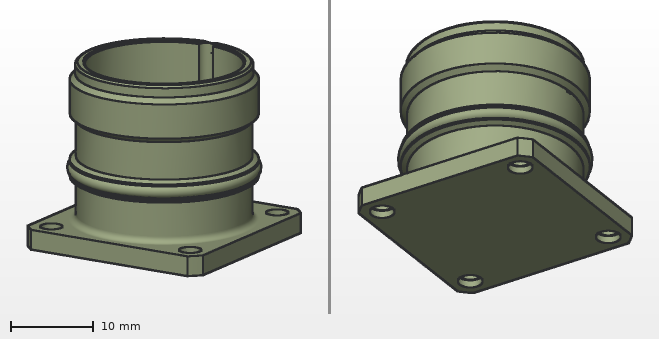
import cadquery as cq
import math

flange_size = 25.0
flange_thickness = 2.5
flange_corner_radius = 16.75
mount_hole_diameter = 2.7
mount_relief_diameter = 3.0
mount_relief_depth = 1.0
mount_circle_diameter = 28.0

total_height = 22.3
body_radius = 10.7
base_fillet = 0.8

collar_radius = 11.45
collar_mid_z = 9.05
collar_half_width = 1.45
collar_chamfer_height = 0.4
outer_ring_section = 0.8
outer_ring_radius = 10.95

band_radius = 11.45
band_bottom_z = 15.2
band_top_z = 20.85
band_bottom_chamfer = 0.65
band_top_chamfer = 0.7

rim_radius = 10.8
rim_chamfer = 0.3

bore_radius = 9.6
bore_chamfer = 0.2
floor_z = 13.2
recess_radius = 8.05
recess_depth = 0.3

inner_ring_section = 0.75
inner_ring_radius = 9.75
undercut_radius = 10.22
undercut_top_z = 15.05

keyway_radius = 1.0
keyway_centre_y = 9.65
keyway_chamfer = 0.2


def make_pins(diameter, height):
    """Cylinders on the mounting hole centres, standing on the underside of the flange."""
    spacing = mount_circle_diameter / math.sqrt(2)
    return (
        cq.Workplane("XY")
        .rect(spacing, spacing, forConstruction=True)
        .vertices()
        .circle(diameter / 2)
        .extrude(height)
    )


def make_flange():
    plate = cq.Workplane("XY").rect(flange_size, flange_size).extrude(flange_thickness)
    turned_blank = cq.Workplane("XY").circle(flange_corner_radius).extrude(flange_thickness)
    holes = make_pins(mount_hole_diameter, flange_thickness)
    reliefs = make_pins(mount_relief_diameter, mount_relief_depth)
    return plate.intersect(turned_blank).cut(holes).cut(reliefs)


def make_body():
    """Revolve the half section, from the flange up the outside and down into the socket."""
    fillet_start = body_radius + base_fillet
    fillet_top_z = flange_thickness + base_fillet
    fillet_mid = base_fillet * (1 - math.sqrt(0.5))

    collar_bottom_z = collar_mid_z - collar_half_width
    collar_top_z = collar_mid_z + collar_half_width
    groove_bottom_z = collar_mid_z - outer_ring_section
    groove_top_z = collar_mid_z + outer_ring_section

    inner_ring_z = floor_z + inner_ring_section
    ring_reach = undercut_radius - inner_ring_radius
    ring_meets_wall_z = inner_ring_z + math.sqrt(inner_ring_section**2 - ring_reach**2)

    section = (
        cq.Workplane("XZ")
        .moveTo(0, 0)
        .lineTo(fillet_start, 0)
        .lineTo(fillet_start, flange_thickness)
        .threePointArc(
            (body_radius + fillet_mid, flange_thickness + fillet_mid),
            (body_radius, fillet_top_z),
        )
        .lineTo(body_radius, collar_bottom_z)
        .lineTo(collar_radius, collar_bottom_z + collar_chamfer_height)
        .lineTo(collar_radius, groove_bottom_z)
        .lineTo(outer_ring_radius, groove_bottom_z)
        .threePointArc(
            (outer_ring_radius + outer_ring_section, collar_mid_z),
            (outer_ring_radius, groove_top_z),
        )
        .lineTo(collar_radius, groove_top_z)
        .lineTo(collar_radius, collar_top_z - collar_chamfer_height)
        .lineTo(body_radius, collar_top_z)
        .lineTo(body_radius, band_bottom_z)
        .lineTo(band_radius, band_bottom_z + band_bottom_chamfer)
        .lineTo(band_radius, band_top_z - band_top_chamfer)
        .lineTo(rim_radius, band_top_z)
        .lineTo(rim_radius, total_height - rim_chamfer)
        .lineTo(rim_radius - rim_chamfer, total_height)
        .lineTo(bore_radius + bore_chamfer, total_height)
        .lineTo(bore_radius, total_height - bore_chamfer)
        .lineTo(bore_radius, undercut_top_z)
        .lineTo(undercut_radius, undercut_top_z)
        .lineTo(undercut_radius, ring_meets_wall_z)
        .threePointArc(
            (inner_ring_radius - inner_ring_section, inner_ring_z),
            (inner_ring_radius, floor_z),
        )
        .lineTo(recess_radius, floor_z)
        .lineTo(recess_radius, floor_z - recess_depth)
        .lineTo(0, floor_z - recess_depth)
        .close()
    )
    return section.revolve(360, (0, 0, 0), (0, 1, 0))


def make_keyway():
    """Round keyway cutter, widened by a chamfer at the rim."""
    slot = (
        cq.Workplane("XY", origin=(0, keyway_centre_y, undercut_top_z))
        .circle(keyway_radius)
        .extrude(total_height - undercut_top_z)
    )
    mouth = cq.Workplane("XY").add(
        cq.Solid.makeCone(
            keyway_radius,
            keyway_radius + keyway_chamfer,
            keyway_chamfer,
            pnt=cq.Vector(0, keyway_centre_y, total_height - keyway_chamfer),
        )
    )
    return slot.union(mouth)


result = make_flange().union(make_body()).cut(make_keyway())